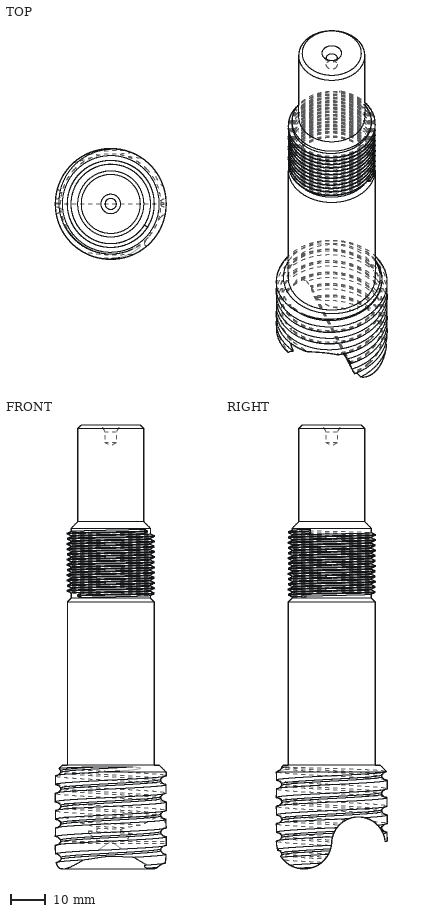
import cadquery as cq
import math

total_length = 127.8
head_top = 29.9
relief_bottom = 78.0
cone_bottom = 98.0

head_diameter = 32.0
body_diameter = 25.0
thread_root_diameter = 22.9
tip_diameter = 19.0

head_chamfer = 2.0
tip_chamfer = 1.0

centre_hole_diameter = 3.2
centre_hole_mouth = 5.6
centre_hole_depth = 5.1
countersink_half_angle = 30.0
drill_half_angle = 60.0

head_turns = 8
head_thread_travel = 40.0
head_pitch = head_thread_travel / head_turns
head_thread_start = -6.4
head_thread_start_angle = 40.0
head_groove_width = 2.5
head_groove_depth = 1.5
head_root_gap = 0.3
head_flank_rise = 0.5
head_flank_run = 0.4

fine_turns = 12.3
fine_thread_travel = 18.4
fine_pitch = fine_thread_travel / fine_turns
fine_thread_start = 78.7
fine_thread_start_angle = 220.0
fine_crest_width = 0.3
fine_root_gap = 0.3

embed = 0.06
rim_clearance = 0.1

notch_radius = 7.7
notch_centre_z = 7.3
lobe_radius = head_diameter / 4


def turned_shaft():
    body_r = body_diameter / 2
    root_r = thread_root_diameter / 2
    tip_r = tip_diameter / 2
    thread_depth = body_r - root_r
    outline = [
        (0, head_top),
        (body_r, head_top),
        (body_r, relief_bottom - thread_depth),
        (root_r, relief_bottom),
        (root_r, cone_bottom),
        (tip_r, cone_bottom + root_r - tip_r),
        (tip_r, total_length - tip_chamfer),
        (tip_r - tip_chamfer, total_length),
        (0, total_length),
    ]
    return cq.Workplane("XZ").polyline(outline).close().revolve(360, (0, 0), (0, 1))


def centre_hole():
    hole_r = centre_hole_diameter / 2
    mouth_r = centre_hole_mouth / 2
    cone_depth = (mouth_r - hole_r) / math.tan(math.radians(countersink_half_angle))
    point_depth = hole_r / math.tan(math.radians(drill_half_angle))
    outline = [
        (0, total_length),
        (mouth_r, total_length),
        (hole_r, total_length - cone_depth),
        (hole_r, total_length - centre_hole_depth),
        (0, total_length - centre_hole_depth - point_depth),
    ]
    return cq.Workplane("XZ").polyline(outline).close().revolve(360, (0, 0), (0, 1))


def sweep_along_helix(profile, pitch, height, radius, start):
    """Sweep an XZ profile up a right-hand helix that starts on the +X side."""
    helix = cq.Wire.makeHelix(pitch, height, radius, center=cq.Vector(0, 0, start))
    return profile.sweep(cq.Workplane(obj=helix), isFrenet=True)


def head_thread():
    """Bar with a round-bottomed thread, longer than the head at both ends."""
    crest_r = head_diameter / 2
    root_r = crest_r - head_groove_depth
    half_crest = (head_pitch - head_groove_width) / 2
    half_base = (head_pitch - head_root_gap) / 2
    flank_r = root_r + head_flank_rise
    flank_half = half_crest + head_flank_run
    profile = (
        cq.Workplane("XZ", origin=(0, 0, head_thread_start))
        .moveTo(root_r - embed, -half_base)
        .threePointArc((flank_r, -flank_half), (crest_r, -half_crest))
        .lineTo(crest_r, half_crest)
        .threePointArc((flank_r, flank_half), (root_r - embed, half_base))
        .close()
    )
    ridge = sweep_along_helix(profile, head_pitch, head_thread_travel, root_r, head_thread_start)
    ridge = ridge.rotate((0, 0, 0), (0, 0, 1), head_thread_start_angle)
    core = (
        cq.Workplane("XY", origin=(0, 0, head_thread_start - head_pitch))
        .circle(root_r)
        .extrude(head_thread_travel + 2 * head_pitch)
    )
    return core.union(ridge)


def head_envelope():
    """Chamfered outline that trims the threaded bar to the head length."""
    rim_r = head_diameter / 2 + rim_clearance
    rim_z = head_top - head_chamfer - rim_clearance
    outline = [
        (0, 0),
        (rim_r, 0),
        (rim_r, rim_z),
        (rim_r - head_chamfer - rim_clearance, head_top),
        (0, head_top),
    ]
    return cq.Workplane("XZ").polyline(outline).close().revolve(360, (0, 0), (0, 1))


def fine_thread():
    """Thread ridge that winds around the root cylinder."""
    crest_r = body_diameter / 2
    root_r = thread_root_diameter / 2
    half_base = (fine_pitch - fine_root_gap) / 2
    half_crest = fine_crest_width / 2
    flank_slope = (half_base - half_crest) / (crest_r - root_r)
    buried_half = half_base + flank_slope * embed
    profile = (
        cq.Workplane("XZ", origin=(0, 0, fine_thread_start))
        .moveTo(root_r - embed, -buried_half)
        .lineTo(crest_r, -half_crest)
        .lineTo(crest_r, half_crest)
        .lineTo(root_r - embed, buried_half)
        .close()
    )
    ridge = sweep_along_helix(profile, fine_pitch, fine_thread_travel, root_r, fine_thread_start)
    return ridge.rotate((0, 0, 0), (0, 0, 1), fine_thread_start_angle)


def foot_cut():
    """Space below the hook: a notch on the +Y side, a rounded lobe on the -Y side."""
    clear = head_diameter
    return (
        cq.Workplane("YZ", origin=(-clear, 0, 0))
        .moveTo(clear, -clear)
        .lineTo(clear, notch_centre_z)
        .lineTo(2 * notch_radius, notch_centre_z)
        .threePointArc((notch_radius, notch_centre_z + notch_radius), (0, notch_centre_z))
        .lineTo(0, lobe_radius)
        .threePointArc((-lobe_radius, 0), (-2 * lobe_radius, lobe_radius))
        .lineTo(-clear, lobe_radius)
        .lineTo(-clear, -clear)
        .close()
        .extrude(2 * clear)
    )


head = head_thread().intersect(head_envelope()).cut(foot_cut())
shaft = turned_shaft().cut(centre_hole()).union(fine_thread())
result = shaft.union(head)